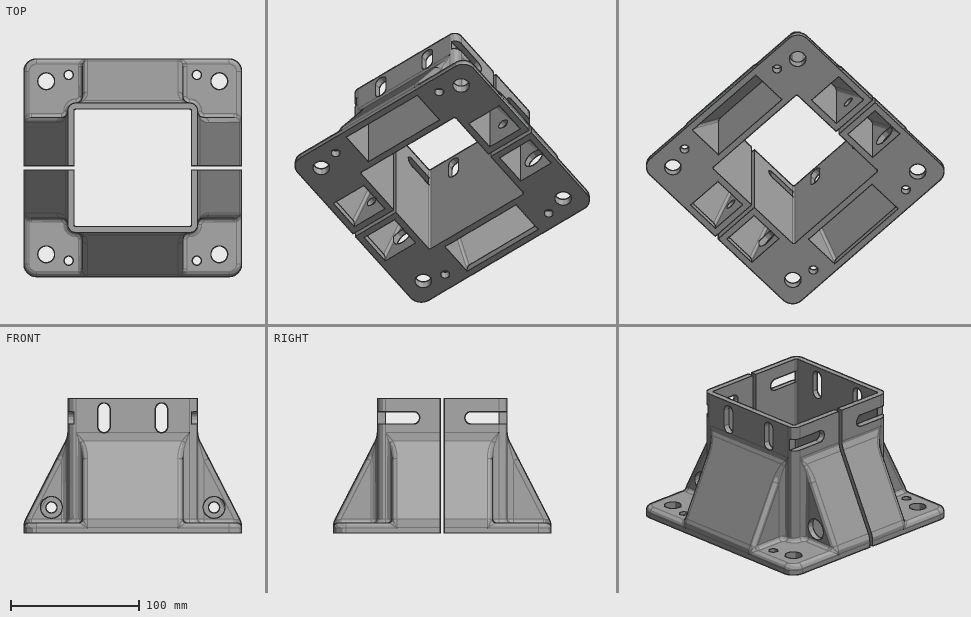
import cadquery as cq
import math

PLATE_SIDE = 170.0
PLATE_THICKNESS = 8.0
PLATE_CORNER_RADIUS = 10.0
PLATE_EDGE_RADIUS = 4.0

TOTAL_HEIGHT = 105.0
BORE_SIDE = 91.5
WALL = 5.0
BORE_CORNER_RADIUS = 1.5
SPLIT_GAP = 3.0

BUTTRESS_HALF_WIDTH = 39.3
BUTTRESS_TOP = 75.0
PROFILE_RADIUS = 15.0
BUTTRESS_EDGE_RADIUS = 4.0
FOOT_RADIUS = 3.0

SLOT_WIDTH = 9.9
SLOT_DRAFT = 3.0
UPRIGHT_SLOT_LENGTH = 23.5
SLOT_Z = 90.0
SLOT_OFFSET = 22.5

ANCHOR_DIAMETER = 13.0
ANCHOR_OFFSET = 67.5
PIN_DIAMETER = 7.0
PIN_X = 50.0
PIN_Y = 72.5

HOLLOW_ROUND = 2.0

CLAMP_DIAMETER = 8.5
ACCESS_DIAMETER = 17.0
CLAMP_X = 63.4
CLAMP_Z = 20.0

PLATE_HALF = PLATE_SIDE / 2
SOCKET_HALF = BORE_SIDE / 2 + WALL
SOCKET_CORNER_RADIUS = BORE_CORNER_RADIUS + WALL
SOCKET_FLAT_HALF = SOCKET_HALF - SOCKET_CORNER_RADIUS
FLARE_RADIUS = SOCKET_FLAT_HALF - BUTTRESS_HALF_WIDTH
SLOPE_ANGLE = math.atan2(PLATE_HALF - SOCKET_HALF, BUTTRESS_TOP - PLATE_THICKNESS)
HOLLOW_HALF_WIDTH = BUTTRESS_HALF_WIDTH - WALL
FLANGE_FACE = SPLIT_GAP / 2 + WALL
SIDES = (-1, 1)
Z_AXIS = ((0, 0, 0), (0, 0, 1))


def rounded_block(side, height, radius):
    return cq.Workplane("XY").rect(side, side).extrude(height).edges("|Z").fillet(radius)


def base_plate():
    plate = rounded_block(PLATE_SIDE, PLATE_THICKNESS, PLATE_CORNER_RADIUS)
    return plate.faces(">Z").edges().fillet(PLATE_EDGE_RADIUS)


def buttress_profile():
    """Side outline of the +X buttress, with a tangent arc at each end of its slope."""
    tangent = PROFILE_RADIUS * math.tan(SLOPE_ANGLE / 2)
    tangent_x = tangent * math.sin(SLOPE_ANGLE)
    tangent_z = tangent * math.cos(SLOPE_ANGLE)
    middle_x = PROFILE_RADIUS * (1 - math.cos(SLOPE_ANGLE / 2))
    middle_z = PROFILE_RADIUS * math.sin(SLOPE_ANGLE / 2)
    toe_z = PLATE_THICKNESS - tangent
    head_z = BUTTRESS_TOP + tangent
    return (
        cq.Workplane("XZ")
        .lineTo(PLATE_HALF, 0)
        .lineTo(PLATE_HALF, toe_z)
        .threePointArc(
            (PLATE_HALF - middle_x, toe_z + middle_z),
            (PLATE_HALF - tangent_x, PLATE_THICKNESS + tangent_z),
        )
        .lineTo(SOCKET_HALF + tangent_x, BUTTRESS_TOP - tangent_z)
        .threePointArc((SOCKET_HALF + middle_x, head_z - middle_z), (SOCKET_HALF, head_z))
        .lineTo(0, head_z)
        .close()
    )


def buttress_plan():
    """Outline of the +X buttress from above, flaring into the socket wall."""
    flare_x = SOCKET_HALF + FLARE_RADIUS
    return (
        cq.Workplane("XY")
        .moveTo(0, -SOCKET_FLAT_HALF)
        .lineTo(SOCKET_HALF, -SOCKET_FLAT_HALF)
        .radiusArc((flare_x, -BUTTRESS_HALF_WIDTH), FLARE_RADIUS)
        .lineTo(PLATE_HALF, -BUTTRESS_HALF_WIDTH)
        .lineTo(PLATE_HALF, BUTTRESS_HALF_WIDTH)
        .lineTo(flare_x, BUTTRESS_HALF_WIDTH)
        .radiusArc((SOCKET_HALF, SOCKET_FLAT_HALF), FLARE_RADIUS)
        .lineTo(0, SOCKET_FLAT_HALF)
        .close()
    )


def buttress():
    side_shape = buttress_profile().extrude(SOCKET_FLAT_HALF, both=True)
    block = side_shape.intersect(buttress_plan().extrude(TOTAL_HEIGHT))
    sloping_edges = block.edges("%LINE and (not (|X or |Y or |Z))")
    return sloping_edges.fillet(BUTTRESS_EDGE_RADIUS)


def round_foot(body):
    """Round where the socket and buttresses meet the plate, around all four corners."""
    corner_edges = body.newObject([])
    for side_x in SIDES:
        for side_y in SIDES:
            corner = (side_x * SOCKET_FLAT_HALF, side_y * SOCKET_FLAT_HALF, PLATE_THICKNESS)
            corner_edges = corner_edges.add(body.edges(cq.NearestToPointSelector(corner)))
    return corner_edges.fillet(FOOT_RADIUS)


def outer_body():
    body = base_plate().union(rounded_block(2 * SOCKET_HALF, TOTAL_HEIGHT, SOCKET_CORNER_RADIUS))
    arm = buttress()
    for quarter in range(4):
        body = body.union(arm.rotate(*Z_AXIS, 90 * quarter))
    return round_foot(body.clean())


def bore():
    return rounded_block(BORE_SIDE, TOTAL_HEIGHT, BORE_CORNER_RADIUS)


def plate_holes():
    anchors = cq.Workplane("XY").rect(2 * ANCHOR_OFFSET, 2 * ANCHOR_OFFSET, forConstruction=True)
    pins = cq.Workplane("XY").rect(2 * PIN_X, 2 * PIN_Y, forConstruction=True)
    anchor_holes = anchors.vertices().circle(ANCHOR_DIAMETER / 2).extrude(PLATE_THICKNESS)
    pin_holes = pins.vertices().circle(PIN_DIAMETER / 2).extrude(PLATE_THICKNESS)
    return anchor_holes.union(pin_holes)


def wall_slot(center_y, length, angle):
    """Drafted slot through the +X wall of the socket; angle 0 is level and 90 is upright."""
    outer_face = cq.Workplane("YZ", origin=(SOCKET_HALF, center_y, SLOT_Z))
    return outer_face.slot2D(length, SLOT_WIDTH, angle).extrude(-WALL, taper=SLOT_DRAFT)


def upright_slot():
    return wall_slot(SLOT_OFFSET, UPRIGHT_SLOT_LENGTH, 90)


def level_slot():
    """Slot that runs out through the +X +Y corner of the socket."""
    start_y = SLOT_OFFSET - SLOT_WIDTH / 2
    end_y = SOCKET_HALF + SLOT_WIDTH
    return wall_slot((start_y + end_y) / 2, end_y - start_y, 0)


def four_way(shape):
    """The shape and its mirror images in the two upright middle planes of the bracket."""
    pair = shape.union(shape.mirror("XZ"))
    return pair.union(pair.mirror("YZ"))


def hollow(start_y, end_y):
    """Room inside the +X buttress between two Y positions, one wall thickness under its skin."""
    outer_x = PLATE_HALF - WALL
    drop = WALL / math.sin(SLOPE_ANGLE)
    head_z = BUTTRESS_TOP - drop
    toe_z = head_z - (outer_x - SOCKET_HALF) / math.tan(SLOPE_ANGLE)
    room = (
        cq.Workplane("XZ", origin=(0, start_y, 0))
        .moveTo(SOCKET_HALF, 0)
        .lineTo(outer_x, 0)
        .lineTo(outer_x, toe_z)
        .lineTo(SOCKET_HALF, head_z)
        .close()
        .extrude(start_y - end_y)
    )
    return room.edges("%LINE and (not (|X or |Y or |Z))").fillet(HOLLOW_ROUND)


def clamp_hole():
    """Bolt hole along Y through the +X buttress."""
    axis = cq.Workplane("XZ", origin=(CLAMP_X, 0, CLAMP_Z))
    return axis.circle(CLAMP_DIAMETER / 2).extrude(FLANGE_FACE, both=True)


def access_hole():
    """Hole from the hollow of the +X buttress out through its +Y side wall."""
    axis = cq.Workplane("XZ", origin=(CLAMP_X, HOLLOW_HALF_WIDTH - HOLLOW_ROUND, CLAMP_Z))
    return axis.circle(ACCESS_DIAMETER / 2).extrude(-(WALL + FLARE_RADIUS))


def post_bracket():
    """Whole bracket before it is split into its two halves."""
    body = outer_body().cut(bore()).cut(plate_holes())
    body = body.cut(four_way(level_slot()))
    body = body.cut(four_way(upright_slot().rotate(*Z_AXIS, 90)))

    whole_room = hollow(-HOLLOW_HALF_WIDTH, HOLLOW_HALF_WIDTH).rotate(*Z_AXIS, 90)
    body = body.cut(whole_room).cut(whole_room.mirror("XZ"))
    bolt_room = hollow(FLANGE_FACE, HOLLOW_HALF_WIDTH).union(access_hole())
    return body.cut(four_way(bolt_room.union(clamp_hole())))


def bracket_half(bracket, side):
    """The part of the bracket on one side of the split gap."""
    depth = PLATE_HALF - SPLIT_GAP / 2
    keep = cq.Workplane("XY").box(PLATE_SIDE, depth, TOTAL_HEIGHT, centered=(True, True, False))
    half = bracket.intersect(keep.translate((0, side * (SPLIT_GAP + depth) / 2, 0)))
    return half.solids()


bracket = post_bracket()
halves = [bracket_half(bracket, side) for side in SIDES]
result = cq.Compound.makeCompound([half.val() for half in halves])